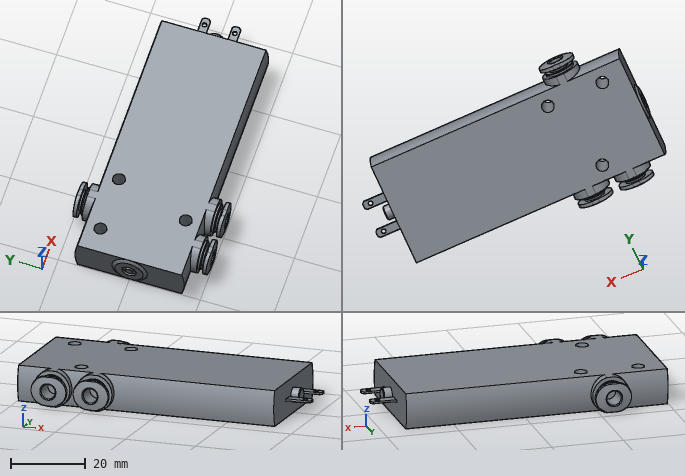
import cadquery as cq

overall_length = 80.5
height = 10.0
flat_width = 29.3
full_width = 30.8
body_length = 73.0

mount_hole_diameter = 3.4
mount_hole_places = [(6.9, 10.5), (22.95, 10.5), (16.4, -10.5)]

fitting_places = [(10.4, -1), (22.4, -1), (16.4, 1)]
collar_diameter = 10.2
collar_end = 17.1
ring_diameter = 8.0
ring_end = 17.8
ring_chamfer = 0.2
neck_diameter = 5.4
neck_shoulder_diameter = 5.7
neck_shoulder_start = 18.3
flange_start = 18.75
flange_length = 9.9
flange_width = 8.0
crown_start = 19.7
fitting_tip = 20.2
bore_diameter = 4.0
bore_bottom = flat_width / 2
bore_mouth_diameter = 4.6

button_height = 0.6
button_base_diameter = height
button_face_diameter = 8.0
groove_outer_diameter = 4.0
groove_inner_diameter = 2.0
groove_depth = 0.6

pin_diameter = 4.0
pin_length = 2.4
pin_chamfer = 0.25
terminal_length = overall_length - button_height - body_length
terminal_width = 2.4
terminal_thickness = 0.6
terminal_offset = 4.3
terminal_root_radius = 0.7
terminal_tip_chamfer = 0.6
terminal_hole_diameter = 1.2
terminal_hole_distance = 4.9


def make_body():
    half_flat = flat_width / 2
    half_full = full_width / 2
    half_height = height / 2
    return (
        cq.Workplane("YZ")
        .moveTo(-half_flat, -half_height)
        .lineTo(half_flat, -half_height)
        .threePointArc((half_full, 0), (half_flat, half_height))
        .lineTo(-half_flat, half_height)
        .threePointArc((-half_full, 0), (-half_flat, -half_height))
        .close()
        .extrude(body_length)
    )


def revolve_about_y(points):
    """Turn a closed (radius, Y) outline about the Y axis."""
    return cq.Workplane("XY").polyline(points).close().revolve(360, (0, 0), (0, 1))


def make_fitting():
    """Tube fitting on the Y axis, pointing towards +Y, without its bore."""
    collar = (
        cq.Workplane("XZ")
        .circle(collar_diameter / 2)
        .extrude(-collar_end)
        .intersect(cq.Workplane("XY").box(2 * collar_diameter, 4 * collar_end, height))
    )
    ring_radius = ring_diameter / 2
    neck_radius = neck_diameter / 2
    shoulder_radius = neck_shoulder_diameter / 2
    stem = revolve_about_y([
        (0, bore_bottom),
        (ring_radius, bore_bottom),
        (ring_radius, ring_end - ring_chamfer),
        (ring_radius - ring_chamfer, ring_end),
        (neck_radius, ring_end),
        (neck_radius, neck_shoulder_start),
        (shoulder_radius, neck_shoulder_start),
        (shoulder_radius, flange_start),
        (0, flange_start),
    ])
    crowned_disc = revolve_about_y([
        (0, flange_start),
        (flange_length / 2, flange_start),
        (flange_length / 2, crown_start),
        (bore_mouth_diameter / 2, fitting_tip),
        (0, fitting_tip),
    ])
    slot_prism = cq.Workplane("XZ").slot2D(flange_length, flange_width).extrude(-2 * fitting_tip)
    return collar.union(stem).union(crowned_disc.intersect(slot_prism))


def make_bore():
    """Blind tube bore with a chamfered mouth, on the Y axis."""
    bore_radius = bore_diameter / 2
    mouth_radius = bore_mouth_diameter / 2
    return revolve_about_y([
        (0, bore_bottom),
        (bore_radius, bore_bottom),
        (bore_radius, fitting_tip - (mouth_radius - bore_radius)),
        (mouth_radius, fitting_tip),
        (0, fitting_tip),
    ])


def place_fitting(shape, x, side):
    """Move a fitting shape to its X place, turned to face the given side."""
    angle = 0 if side > 0 else 180
    return shape.rotate((0, 0, 0), (0, 0, 1), angle).translate((x, 0, 0))


def make_button():
    return (
        cq.Workplane("YZ")
        .circle(button_base_diameter / 2)
        .workplane(offset=-button_height)
        .circle(button_face_diameter / 2)
        .loft()
    )


def make_button_groove():
    return (
        cq.Workplane("YZ", origin=(-button_height, 0, 0))
        .circle(groove_outer_diameter / 2)
        .circle(groove_inner_diameter / 2)
        .extrude(groove_depth)
    )


def make_pin():
    return (
        cq.Workplane("YZ", origin=(body_length, 0, 0))
        .circle(pin_diameter / 2)
        .extrude(pin_length)
        .faces(">X")
        .chamfer(pin_chamfer)
    )


def make_terminal(y):
    """Flat solder tab with flared root, cut tip corners and a wire hole."""
    half_width = terminal_width / 2
    root_half_width = half_width + terminal_root_radius
    tip_half_width = half_width - terminal_tip_chamfer
    tip_corner = terminal_length - terminal_tip_chamfer
    return (
        cq.Workplane("XY", origin=(body_length, y, -terminal_thickness / 2))
        .moveTo(0, -root_half_width)
        .radiusArc((terminal_root_radius, -half_width), terminal_root_radius)
        .lineTo(tip_corner, -half_width)
        .lineTo(terminal_length, -tip_half_width)
        .lineTo(terminal_length, tip_half_width)
        .lineTo(tip_corner, half_width)
        .lineTo(terminal_root_radius, half_width)
        .radiusArc((0, root_half_width), terminal_root_radius)
        .close()
        .moveTo(terminal_hole_distance, 0)
        .circle(terminal_hole_diameter / 2)
        .extrude(terminal_thickness)
    )


result = make_body()

for x, side in fitting_places:
    result = result.union(place_fitting(make_fitting(), x, side))
for x, side in fitting_places:
    result = result.cut(place_fitting(make_bore(), x, side))

mount_holes = (
    cq.Workplane("XY", origin=(0, 0, -height / 2))
    .pushPoints(mount_hole_places)
    .circle(mount_hole_diameter / 2)
    .extrude(height)
)
result = result.cut(mount_holes)

result = result.union(make_button()).cut(make_button_groove())
result = result.union(make_pin())
for y in (-terminal_offset, terminal_offset):
    result = result.union(make_terminal(y))